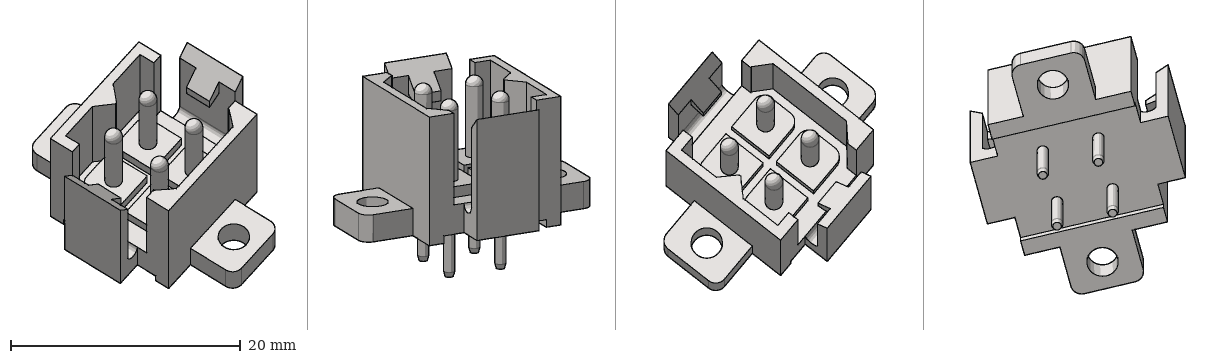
import cadquery as cq
import math

SHELL_SIDE = 12.85
SHELL_HEIGHT = 11.8
CAVITY_FLOOR = 3.4
CAVITY_X = 11.07
CAVITY_Y = 10.8
WINDOW_WIDTH = 8.08
UNDERCUT_WIDTH = 10.0
UNDERCUT_DEPTH = 0.7

KEY_REACH = 1.42
KEY_TIP_WIDTH = 0.18
CHAMFER_X = 1.4
CHAMFER_Y = 1.28

PAD_SIDE = 4.18
PAD_HEIGHT = 1.0
PAD_RADIUS = 1.0

OVERALL_X = 22.5
EAR_WIDTH = 6.5
EAR_HEIGHT = 2.5
EAR_RADIUS = 1.0
EAR_HOLE_DIAMETER = 2.72
EAR_HOLE_X = 8.7

OVERALL_Y = 17.8
LATCH_WIDTH = 6.05
LATCH_THICKNESS = 1.1
TONGUE_WIDTH = 2.5
TONGUE_ROOT_HEIGHT = 1.73
TONGUE_TIP_HEIGHT = 0.92

PIN_PITCH = 5.0
CONTACT_DIAMETER = 1.55
TAIL_DIAMETER = 1.01
TAIL_TIP_DIAMETER = 0.75
TAIL_TIP_LENGTH = 0.5
TAIL_BOTTOM = -4.5
DOME_BASE = 10.91

SHELL_FACE = SHELL_SIDE / 2
LATCH_FACE = OVERALL_Y / 2
PAD_TOP = CAVITY_FLOOR + PAD_HEIGHT
SIDES = (-1, 1)
PIN_PLACES = [(x * PIN_PITCH / 2, y * PIN_PITCH / 2) for x in SIDES for y in SIDES]


def block(x_size, y_size, z_low, z_high):
    """Box centred on the Z axis between two heights."""
    return (
        cq.Workplane("XY")
        .workplane(offset=z_low)
        .rect(x_size, y_size)
        .extrude(z_high - z_low)
    )


def cavity():
    """Mating cavity, with a blunt 45 degree key on the -X wall and two chamfered corners on the +X side."""
    half_x = CAVITY_X / 2
    half_y = CAVITY_Y / 2
    half_tip = KEY_TIP_WIDTH / 2
    outline = [
        (-half_x, -half_y),
        (half_x - CHAMFER_X, -half_y),
        (half_x, -half_y + CHAMFER_Y),
        (half_x, half_y - CHAMFER_Y),
        (half_x - CHAMFER_X, half_y),
        (-half_x, half_y),
        (-half_x, half_tip + KEY_REACH),
        (-half_x + KEY_REACH, half_tip),
        (-half_x + KEY_REACH, -half_tip),
        (-half_x, -half_tip - KEY_REACH),
    ]
    return (
        cq.Workplane("XY")
        .workplane(offset=CAVITY_FLOOR)
        .polyline(outline)
        .close()
        .extrude(SHELL_HEIGHT - CAVITY_FLOOR)
    )


def shell():
    """Box with the cavity, the latch windows through both Y walls and the underside channel."""
    windows = block(WINDOW_WIDTH, SHELL_SIDE, CAVITY_FLOOR, SHELL_HEIGHT)
    undercut = block(UNDERCUT_WIDTH, SHELL_SIDE, 0, UNDERCUT_DEPTH)
    return block(SHELL_SIDE, SHELL_SIDE, 0, SHELL_HEIGHT).cut(cavity()).cut(windows).cut(undercut)


def pad(x, y):
    """Raised square around one pin, rounded at its two corners facing away from the YZ plane."""
    outer_side = ">X" if x > 0 else "<X"
    return (
        block(PAD_SIDE, PAD_SIDE, CAVITY_FLOOR, PAD_TOP)
        .faces(outer_side)
        .edges("|Z")
        .fillet(PAD_RADIUS)
        .translate((x, y, 0))
    )


def ears():
    """Both mounting ears as one plate that runs between the shell's X faces, with its screw holes."""
    plate = block(OVERALL_X, EAR_WIDTH, 0, EAR_HEIGHT).edges("|Z").fillet(EAR_RADIUS)
    inside_shell = block(SHELL_SIDE, SHELL_SIDE, 0, EAR_HEIGHT)
    holes = (
        cq.Workplane("XY")
        .pushPoints([(side * EAR_HOLE_X, 0) for side in SIDES])
        .circle(EAR_HOLE_DIAMETER / 2)
        .extrude(EAR_HEIGHT)
    )
    return plate.cut(inside_shell).cut(holes)


def extruded_yz(profile, width):
    """Extrude a closed YZ profile by a width centred on x = 0."""
    return profile.close().extrude(width / 2, both=True)


def latch():
    """Latch on the +Y face: an upright arm on a rounded root, and a tongue reaching back to the shell."""
    arm_face = LATCH_FACE - LATCH_THICKNESS

    slot_radius = (arm_face - SHELL_FACE) / 2
    slot_bottom = CAVITY_FLOOR - slot_radius

    arm_top = SHELL_HEIGHT - LATCH_THICKNESS
    tongue_tip_top = SHELL_HEIGHT - (LATCH_FACE - SHELL_FACE)

    arm = extruded_yz(
        cq.Workplane("YZ")
        .moveTo(SHELL_FACE, UNDERCUT_DEPTH)
        .lineTo(LATCH_FACE, UNDERCUT_DEPTH)
        .lineTo(LATCH_FACE, SHELL_HEIGHT)
        .lineTo(arm_face, arm_top)
        .lineTo(arm_face, CAVITY_FLOOR)
        .threePointArc((SHELL_FACE + slot_radius, slot_bottom), (SHELL_FACE, CAVITY_FLOOR)),
        LATCH_WIDTH,
    )
    tongue = extruded_yz(
        cq.Workplane("YZ")
        .moveTo(arm_face, arm_top)
        .lineTo(SHELL_FACE, tongue_tip_top)
        .lineTo(SHELL_FACE, tongue_tip_top - TONGUE_TIP_HEIGHT)
        .lineTo(arm_face, arm_top - TONGUE_ROOT_HEIGHT),
        TONGUE_WIDTH,
    )
    return arm.union(tongue)


def make_housing():
    """Shell with pads, ears and latches, bored for the pin tails."""
    housing = shell().union(ears())
    for x, y in PIN_PLACES:
        housing = housing.union(pad(x, y))
    housing = housing.union(latch()).union(latch().mirror("XZ"))
    bores = cq.Workplane("XY").pushPoints(PIN_PLACES).circle(TAIL_DIAMETER / 2).extrude(PAD_TOP)
    return housing.cut(bores)


def make_pin(x, y):
    """Domed contact standing on its pad, with a thinner tail through the housing that ends in a cone."""
    contact_radius = CONTACT_DIAMETER / 2
    tail_radius = TAIL_DIAMETER / 2
    dome_top = DOME_BASE + contact_radius
    dome_middle = contact_radius * math.sqrt(0.5)
    return (
        cq.Workplane("XZ")
        .moveTo(0, TAIL_BOTTOM)
        .lineTo(TAIL_TIP_DIAMETER / 2, TAIL_BOTTOM)
        .lineTo(tail_radius, TAIL_BOTTOM + TAIL_TIP_LENGTH)
        .lineTo(tail_radius, PAD_TOP)
        .lineTo(contact_radius, PAD_TOP)
        .lineTo(contact_radius, DOME_BASE)
        .threePointArc((dome_middle, DOME_BASE + dome_middle), (0, dome_top))
        .close()
        .revolve(360, (0, 0, 0), (0, 1, 0))
        .translate((x, y, 0))
    )


housing = make_housing()
pins = [make_pin(x, y).val() for x, y in PIN_PLACES]

result = cq.Compound.makeCompound([housing.val(), *pins])